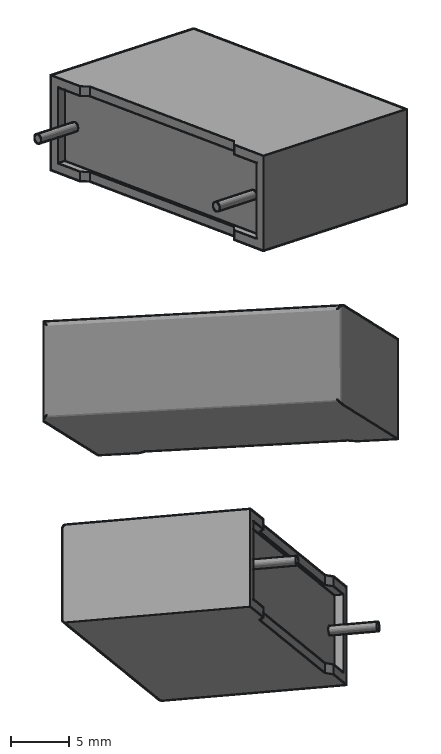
import cadquery as cq

case_width = 26.8
case_depth = 17.1
case_height = 8.7
wall = 0.88
back_edge_radius = 0.5

relief_depth = 0.55
relief_end_margin = 3.67
relief_slope_run = 0.67

potting_recess = 0.83

lead_pitch = 22.5
lead_diameter = 0.85
lead_projection = 3.5

cavity_width = case_width - 2 * wall
cavity_height = case_height - 2 * wall
cavity_back = case_depth - wall


def box_along_y(width, height, y_start, y_end):
    """Box centred on X and Z, from y_start to y_end."""
    return (
        cq.Workplane("XY")
        .box(width, y_end - y_start, height, centered=(True, False, True))
        .translate((0, y_start, 0))
    )


def make_rim_relief():
    """Trapezoidal cutter that passes through the full height of the case."""
    mouth_half = case_width / 2 - relief_end_margin
    floor_half = mouth_half - relief_slope_run
    return (
        cq.Workplane("XY")
        .polyline([
            (-mouth_half, 0),
            (mouth_half, 0),
            (floor_half, relief_depth),
            (-floor_half, relief_depth),
        ])
        .close()
        .extrude(case_height / 2, both=True)
    )


def make_case():
    """Open case with a rounded back and a relieved front rim."""
    shell = box_along_y(case_width, case_height, 0, case_depth)
    shell = shell.faces(">Y").edges().fillet(back_edge_radius)
    cavity = box_along_y(cavity_width, cavity_height, 0, cavity_back)
    return shell.cut(cavity).cut(make_rim_relief())


def make_potting():
    """Block that fills the cavity up to its recessed front face."""
    return box_along_y(cavity_width, cavity_height, potting_recess, cavity_back)


def make_lead(x):
    """Round lead that stands on the potting face and points toward -Y."""
    return (
        cq.Workplane("XZ", origin=(x, potting_recess, 0))
        .circle(lead_diameter / 2)
        .extrude(potting_recess + lead_projection)
    )


case = make_case()
potting = make_potting()
leads = []
for side in (-1, 1):
    leads.append(make_lead(side * lead_pitch / 2).val())

result = cq.Compound.makeCompound([case.val(), potting.val(), *leads])